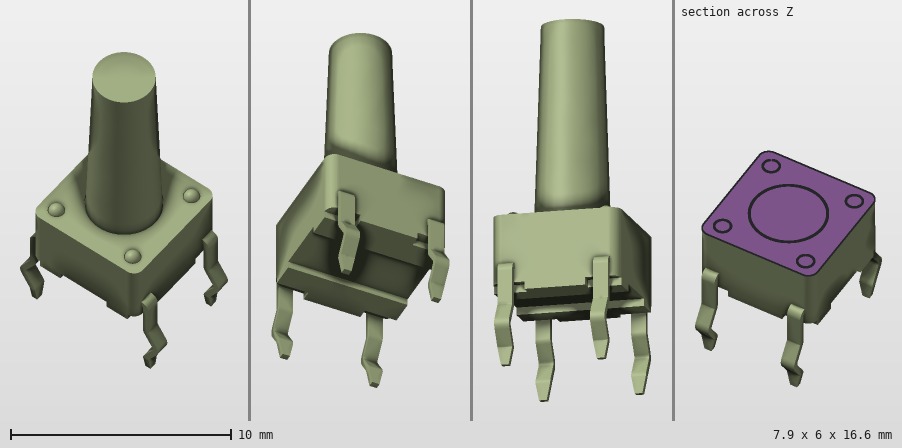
import cadquery as cq
import math

overall_x = 7.9
overall_height = 16.55
pin_tip_z = -3.59

body_size = 6.0
body_top = 3.55
body_corner_radius = 0.5
half_body = body_size / 2

foot_height = 0.35
foot_inner_x = 1.32
foot_outer_x = half_body - body_corner_radius
side_foot_length = 2.85

opening_depth = 0.2
opening_floor = body_top - opening_depth

stem_opening_diameter = 3.6
stem_base_diameter = 3.53
stem_tip_diameter = 2.88
stem_top = pin_tip_z + overall_height

rivet_opening_diameter = 0.8
rivet_diameter = 0.75
rivet_height = 0.3
rivet_offset = 2.18
rivet_places = [(x * rivet_offset, y * rivet_offset) for x in (-1, 1) for y in (-1, 1)]

strip_thickness = 0.3
pin_width = 0.7
pin_offset_y = 2.25
pin_shank_x = 3.25
pin_exit_z = 1.11
kink_upper_z = -0.8
kink_lower_z = -2.71
kink_middle_z = (kink_upper_z + kink_lower_z) / 2
shoulder_inner_radius = 0.1
knee_inner_radius = 0.2
ankle_inner_radius = 0.08
pin_taper_top_z = -2.78
pin_tip_width = 0.36
pin_embed = 0.5


def make_housing():
    """Rounded block with openings in its top, standing on two long feet and two side feet."""
    block = (
        cq.Workplane("XY", origin=(0, 0, foot_height))
        .rect(body_size, body_size)
        .extrude(body_top - foot_height)
        .edges("|Z")
        .fillet(body_corner_radius)
    )
    long_foot_width = foot_outer_x - foot_inner_x
    long_feet = (
        cq.Workplane("XY")
        .pushPoints([(side * (foot_inner_x + foot_outer_x) / 2, 0) for side in (-1, 1)])
        .rect(long_foot_width, body_size)
        .extrude(foot_height)
    )
    side_foot_width = half_body - foot_inner_x
    side_feet = (
        cq.Workplane("XY")
        .pushPoints([(side * (half_body + foot_inner_x) / 2, 0) for side in (-1, 1)])
        .rect(side_foot_width, side_foot_length)
        .extrude(foot_height)
    )
    stem_opening = cq.Workplane("XY", origin=(0, 0, opening_floor)).circle(stem_opening_diameter / 2)
    rivet_openings = (
        cq.Workplane("XY", origin=(0, 0, opening_floor))
        .pushPoints(rivet_places)
        .circle(rivet_opening_diameter / 2)
    )
    return (
        block.union(long_feet)
        .union(side_feet)
        .cut(stem_opening.extrude(opening_depth))
        .cut(rivet_openings.extrude(opening_depth))
    )


def make_stem():
    """Round stem rising from its opening and narrowing towards its flat tip."""
    return (
        cq.Workplane("XY", origin=(0, 0, opening_floor))
        .circle(stem_base_diameter / 2)
        .workplane(offset=stem_top - opening_floor)
        .circle(stem_tip_diameter / 2)
        .loft(ruled=True)
    )


def make_rivet():
    """Round rivet on the Z axis, domed above the top face."""
    radius = rivet_diameter / 2
    dome_top = body_top + rivet_height
    dome_radius = (radius**2 + rivet_height**2) / (2 * rivet_height)
    half_sweep = math.asin(radius / dome_radius) / 2
    dome_centre = dome_top - dome_radius
    dome_middle = (dome_radius * math.sin(half_sweep), dome_centre + dome_radius * math.cos(half_sweep))
    return (
        cq.Workplane("XZ")
        .moveTo(0, opening_floor)
        .lineTo(radius, opening_floor)
        .lineTo(radius, body_top)
        .threePointArc(dome_middle, (0, dome_top))
        .close()
        .revolve(360, (0, 0, 0), (0, 1, 0))
    )


def find_knee_x():
    """Centreline corner X that puts the rounded knee exactly at the overall width."""
    outer_radius = knee_inner_radius + strip_thickness
    centre_radius = knee_inner_radius + strip_thickness / 2
    rise = kink_upper_z - kink_middle_z
    apex_x = overall_x / 2 - outer_radius + centre_radius
    knee_x = apex_x
    refinement_steps = 20
    for _ in range(refinement_steps):
        lean = math.atan2(knee_x - pin_shank_x, rise)
        knee_x = apex_x + centre_radius * (1 / math.cos(lean) - 1)
    return knee_x


def strip_side(path, offset):
    """Shift a strip centreline sideways, with mitred corners."""
    headings = [math.atan2(end[1] - start[1], end[0] - start[0]) for start, end in zip(path, path[1:])]
    side = []
    for index, (x, z) in enumerate(path):
        before = headings[max(index - 1, 0)]
        after = headings[min(index, len(headings) - 1)]
        normal = (before + after) / 2 + math.pi / 2
        reach = offset / math.cos((after - before) / 2)
        side.append((x + reach * math.cos(normal), z + reach * math.sin(normal)))
    return side


def make_pin():
    """Pin on the +X side, centred on Y = 0: out of the housing, down, and kinked outwards."""
    path = [
        (half_body - pin_embed, pin_exit_z),
        (pin_shank_x, pin_exit_z),
        (pin_shank_x, kink_upper_z),
        (find_knee_x(), kink_middle_z),
        (pin_shank_x, kink_lower_z),
        (pin_shank_x, pin_tip_z),
    ]
    outer = strip_side(path, strip_thickness / 2)
    inner = strip_side(path, -strip_thickness / 2)
    pin = (
        cq.Workplane("XZ")
        .polyline(outer + inner[::-1])
        .close()
        .extrude(pin_width / 2, both=True)
    )

    bends = [
        (1, inner, outer, shoulder_inner_radius),
        (2, outer, inner, ankle_inner_radius),
        (3, inner, outer, knee_inner_radius),
        (4, outer, inner, ankle_inner_radius),
    ]
    for index, concave, convex, inner_radius in bends:
        for corners, radius in ((concave, inner_radius), (convex, inner_radius + strip_thickness)):
            x, z = corners[index]
            pin = pin.edges(cq.selectors.NearestToPointSelector((x, 0, z))).fillet(radius)

    width_outline = (
        cq.Workplane("YZ")
        .polyline([
            (-pin_tip_width / 2, pin_tip_z),
            (pin_tip_width / 2, pin_tip_z),
            (pin_width / 2, pin_taper_top_z),
            (pin_width / 2, body_top),
            (-pin_width / 2, body_top),
            (-pin_width / 2, pin_taper_top_z),
        ])
        .close()
        .extrude(overall_x)
    )
    return pin.intersect(width_outline)


result = make_housing().union(make_stem())

rivet = make_rivet()
for x, y in rivet_places:
    result = result.union(rivet.translate((x, y, 0)))

right_pin = make_pin()
left_pin = right_pin.mirror("YZ")
for pin in (right_pin, left_pin):
    for side_y in (-1, 1):
        result = result.union(pin.translate((0, side_y * pin_offset_y, 0)))